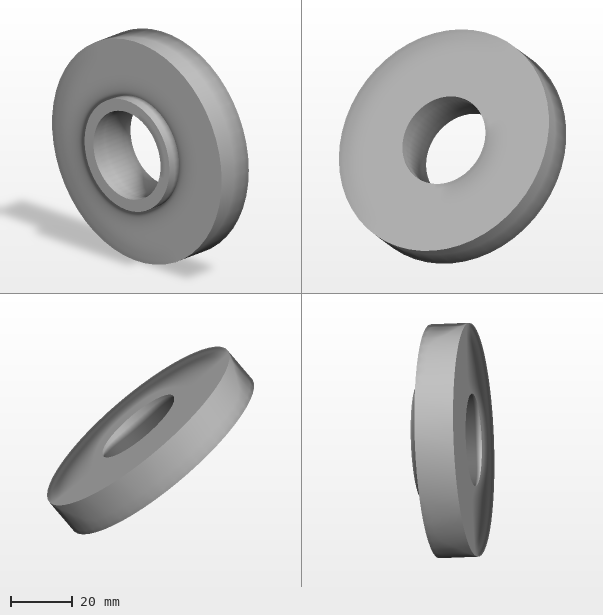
import cadquery as cq

disc_diameter = 76.0
disc_thickness = 12.8
hub_diameter = 38.0
bore_diameter = 30.0
total_length = 17.4

hub_height = total_length - disc_thickness


def cylinder(diameter, length, start_y):
    """Cylinder about the Y axis, running from start_y towards +Y."""
    plane = cq.Workplane("XZ", origin=(0, start_y, 0))
    return plane.circle(diameter / 2).extrude(-length)


disc = cylinder(disc_diameter, disc_thickness, 0)

hub = cylinder(hub_diameter, hub_height, -hub_height)

bore = cylinder(bore_diameter, total_length, -hub_height)

result = disc.union(hub).cut(bore)